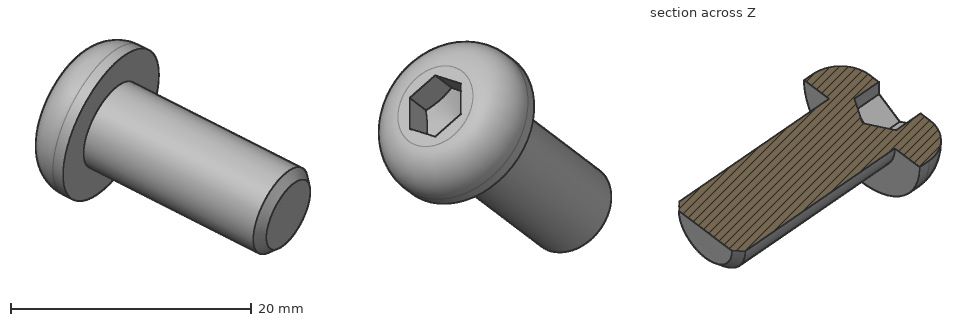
import cadquery as cq
import math

total_length = 22.4
head_diameter = 14.0
head_height = 4.4
rim_height = 1.05
shank_diameter = 8.0
tip_chamfer = 0.78
socket_across_flats = 5.0
socket_depth = 2.6
socket_cone_angle = 120.0

head_radius = head_diameter / 2
shank_radius = shank_diameter / 2
dome_radius = head_height - rim_height
face_radius = head_radius - dome_radius
socket_corner_radius = socket_across_flats / math.sqrt(3)


def make_body():
    """Revolve the head and shank profile about the X axis."""
    diagonal = dome_radius * math.sqrt(0.5)
    dome_middle = (dome_radius - diagonal, face_radius + diagonal)
    return (
        cq.Workplane("XY")
        .lineTo(0, face_radius)
        .threePointArc(dome_middle, (dome_radius, head_radius))
        .lineTo(head_height, head_radius)
        .lineTo(head_height, shank_radius)
        .lineTo(total_length - tip_chamfer, shank_radius)
        .lineTo(total_length, shank_radius - tip_chamfer)
        .lineTo(total_length, 0)
        .close()
        .revolve(360, (0, 0, 0), (1, 0, 0))
    )


def make_socket():
    """Hexagonal recess with corners toward +Z and -Z and a conical bottom."""
    cone_height = socket_corner_radius / math.tan(math.radians(socket_cone_angle / 2))
    tip_depth = socket_depth + cone_height
    corners = [
        (socket_corner_radius * math.sin(turn), socket_corner_radius * math.cos(turn))
        for turn in (math.radians(60 * i) for i in range(6))
    ]
    hexagon = cq.Workplane("YZ").polyline(corners).close().extrude(tip_depth)

    envelope_radius = socket_corner_radius * tip_depth / cone_height
    envelope = (
        cq.Workplane("XY")
        .lineTo(0, envelope_radius)
        .lineTo(tip_depth, 0)
        .close()
        .revolve(360, (0, 0, 0), (1, 0, 0))
    )
    return hexagon.intersect(envelope)


result = make_body().cut(make_socket())